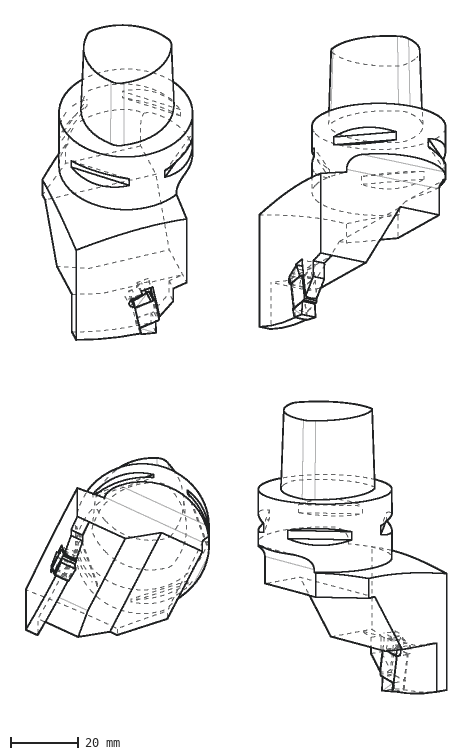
import cadquery as cq
import math


COLLAR_RADIUS = 19.98
COLLAR_HEIGHT = 20.9
TAPER_HEIGHT = 24.0
TAPER_LOBES = 3
TAPER_BASE_RADII = (13.13, 15.0, 14.64)
TAPER_TOP_RADII = (12.3, 14.2, 13.9)
LOBE_HALF_ANGLE = 8.0

NOTCH_COUNT = 4
NOTCH_FLAT_DISTANCE = 17.5
NOTCH_CENTER_Z = -10.1
NOTCH_INNER_HEIGHT = 2.5
NOTCH_OUTER_HEIGHT = 5.2

BLOCK_LEFT = -15.1
BLOCK_RIGHT = 26.4
BLOCK_BACK = 10.0
BLOCK_FRONT = -25.06
BLOCK_BOTTOM = -48.4
BLOCK_CORNER_CHAMFER = 11.2
CONE_ANGLE = 15.0
LEDGE_BOTTOM = -28.4
RAMP_TOP_X = -1.5
RAMP_BOTTOM_X = 10.5
FRONT_BEVEL_LENGTH = 9.6
FRONT_BEVEL_HEIGHT = 2.4
UNDERCUT_Z = -16.0
UNDERCUT_RADIUS = 4.0

BLADE_THICKNESS = 3.9
JAW_STEP_Y = 5.7
JAW_STEP_TOP = -49.6
JAW_STEP_BOTTOM = -54.6
JAW_NOSE = (1.2, -59.6)
BLADE_TOE = (-0.9, -64.4)
BLADE_ARC_MIDDLE = (-15.1, -63.3)
BLADE_FRONT_BOTTOM = -61.0

PART_BOTTOM = TAPER_HEIGHT - 89.0
INSERT_TILT = math.radians(10.1)
INSERT_CENTER_X = 24.6
CUTTING_EDGE_Y = 0.1
INSERT_HALF_LENGTH = 8.5
INSERT_BODY_HALF = 4.3
INSERT_BODY_WIDTH = 4.4
INSERT_RIDGE_WIDTH = 4.9
HEEL_WIDTH = 4.45
INSERT_TOP = 2.0
INSERT_BOTTOM = -4.45
RAKE_FOOT = 0.7
HEEL_U = 7.1
NOSE_CHAMFER = 0.45

POCKET_OPEN_END = 10.7
SLIT_END = 9.35
SLIT_BOTTOM = -1.3
JAW_BEVEL_HEIGHT = 0.4
JAW_BEVEL_WIDTH = 1.3
RELIEF_RADIUS = 1.7
RELIEF_CENTER = (-6.0, -4.2)

INSERT_PLANE = cq.Plane(
    origin=(
        INSERT_CENTER_X,
        CUTTING_EDGE_Y - INSERT_HALF_LENGTH * math.sin(INSERT_TILT),
        PART_BOTTOM + INSERT_HALF_LENGTH * math.cos(INSERT_TILT),
    ),
    xDir=(0, math.sin(INSERT_TILT), -math.cos(INSERT_TILT)),
    normal=(1, 0, 0),
)


def polar(radius, degrees):
    angle = math.radians(degrees)
    return (radius * math.cos(angle), radius * math.sin(angle))


def lobed_section(sketch, radii):
    """Close a rounded three-lobed outline on the given workplane."""
    side_radius, lobe_radius, joint_radius = radii
    pitch = 360 / TAPER_LOBES
    first_lobe = 90
    sketch = sketch.moveTo(*polar(joint_radius, first_lobe - LOBE_HALF_ANGLE))
    for index in range(TAPER_LOBES):
        lobe = first_lobe + index * pitch
        sketch = sketch.threePointArc(
            polar(lobe_radius, lobe), polar(joint_radius, lobe + LOBE_HALF_ANGLE)
        )
        sketch = sketch.threePointArc(
            polar(side_radius, lobe + pitch / 2),
            polar(joint_radius, lobe + pitch - LOBE_HALF_ANGLE),
        )
    return sketch.close()


def make_taper():
    base = lobed_section(cq.Workplane("XY"), TAPER_BASE_RADII)
    top = lobed_section(base.workplane(offset=TAPER_HEIGHT), TAPER_TOP_RADII)
    return top.loft(ruled=True, combine=True)


def make_notch(angle):
    """Trapezoidal cutter whose inner flat is a chord of the collar."""
    inner = NOTCH_INNER_HEIGHT / 2
    outer = NOTCH_OUTER_HEIGHT / 2
    cutter = (
        cq.Workplane("XZ")
        .polyline([
            (NOTCH_FLAT_DISTANCE, NOTCH_CENTER_Z - inner),
            (COLLAR_RADIUS, NOTCH_CENTER_Z - outer),
            (COLLAR_RADIUS, NOTCH_CENTER_Z + outer),
            (NOTCH_FLAT_DISTANCE, NOTCH_CENTER_Z + inner),
        ])
        .close()
        .extrude(COLLAR_RADIUS, both=True)
    )
    return cutter.rotate((0, 0, 0), (0, 0, 1), angle)


def make_collar():
    collar = cq.Workplane("XY").circle(COLLAR_RADIUS).extrude(-COLLAR_HEIGHT)
    for index in range(NOTCH_COUNT):
        collar = collar.cut(make_notch(45 + index * 360 / NOTCH_COUNT))
    left_cutter = make_undercut("XZ", BLOCK_LEFT, -1)
    back_cutter = make_undercut("YZ", BLOCK_BACK, 1)
    return collar.cut(left_cutter).cut(back_cutter)


def make_undercut(plane, wall, outward):
    """Cutter outside a block wall, with a round between wall and collar underside."""
    reach = 2 * COLLAR_RADIUS
    blend = UNDERCUT_RADIUS * (1 - math.sqrt(0.5))
    return (
        cq.Workplane(plane)
        .moveTo(wall, -COLLAR_HEIGHT)
        .lineTo(wall, UNDERCUT_Z - UNDERCUT_RADIUS)
        .threePointArc(
            (wall + outward * blend, UNDERCUT_Z - blend),
            (wall + outward * UNDERCUT_RADIUS, UNDERCUT_Z),
        )
        .lineTo(wall + outward * reach, UNDERCUT_Z)
        .lineTo(wall + outward * reach, -COLLAR_HEIGHT)
        .close()
        .extrude(reach, both=True)
    )


def make_block():
    plan = (
        cq.Workplane("XY", origin=(0, 0, -COLLAR_HEIGHT))
        .polyline([
            (BLOCK_LEFT, BLOCK_BACK),
            (BLOCK_RIGHT, BLOCK_BACK),
            (BLOCK_RIGHT, BLOCK_FRONT),
            (BLOCK_LEFT + BLOCK_CORNER_CHAMFER, BLOCK_FRONT),
            (BLOCK_LEFT, BLOCK_FRONT + BLOCK_CORNER_CHAMFER),
        ])
        .close()
        .extrude(BLOCK_BOTTOM + COLLAR_HEIGHT)
    )
    reach = 2 * COLLAR_RADIUS
    cone_drop = (reach - COLLAR_RADIUS) * math.tan(math.radians(CONE_ANGLE))
    cone = (
        cq.Workplane("XZ")
        .polyline([
            (0, -COLLAR_HEIGHT),
            (COLLAR_RADIUS, -COLLAR_HEIGHT),
            (reach, -COLLAR_HEIGHT - cone_drop),
            (reach, BLOCK_BOTTOM),
            (0, BLOCK_BOTTOM),
        ])
        .close()
        .revolve(360, (0, 0, 0), (0, 1, 0))
    )
    ramp = (
        cq.Workplane("XZ")
        .polyline([
            (BLOCK_LEFT, LEDGE_BOTTOM),
            (RAMP_TOP_X, LEDGE_BOTTOM),
            (RAMP_BOTTOM_X, BLOCK_BOTTOM),
            (BLOCK_LEFT, BLOCK_BOTTOM),
        ])
        .close()
        .extrude(reach, both=True)
    )
    front_bevel = (
        cq.Workplane("YZ")
        .polyline([
            (BLOCK_FRONT, BLOCK_BOTTOM),
            (BLOCK_FRONT + FRONT_BEVEL_LENGTH, BLOCK_BOTTOM),
            (BLOCK_FRONT, BLOCK_BOTTOM + FRONT_BEVEL_HEIGHT),
        ])
        .close()
        .extrude(reach, both=True)
    )
    return plan.intersect(cone).cut(ramp).cut(front_bevel)


def make_blade():
    return (
        cq.Workplane("YZ", origin=(BLOCK_RIGHT, 0, 0))
        .moveTo(BLOCK_FRONT, LEDGE_BOTTOM)
        .lineTo(BLOCK_BACK, LEDGE_BOTTOM)
        .lineTo(BLOCK_BACK, BLOCK_BOTTOM)
        .lineTo(JAW_STEP_Y, JAW_STEP_TOP)
        .lineTo(JAW_STEP_Y, JAW_STEP_BOTTOM)
        .lineTo(*JAW_NOSE)
        .lineTo(*BLADE_TOE)
        .threePointArc(BLADE_ARC_MIDDLE, (BLOCK_FRONT, BLADE_FRONT_BOTTOM))
        .close()
        .extrude(-BLADE_THICKNESS)
    )


def make_pocket():
    """Space for the insert, its relief hole and the slit above the rear head."""
    heel_slope = (INSERT_HALF_LENGTH - HEEL_U) / INSERT_BOTTOM
    slit_corner_u = -INSERT_HALF_LENGTH + heel_slope * SLIT_BOTTOM
    half_width = INSERT_RIDGE_WIDTH / 2
    seat = (
        cq.Workplane(INSERT_PLANE)
        .polyline([
            (POCKET_OPEN_END, INSERT_TOP),
            (-SLIT_END, INSERT_TOP),
            (-SLIT_END, SLIT_BOTTOM),
            (slit_corner_u, SLIT_BOTTOM),
            (-HEEL_U, INSERT_BOTTOM),
            (POCKET_OPEN_END, INSERT_BOTTOM),
        ])
        .close()
        .extrude(half_width, both=True)
    )
    relief = (
        cq.Workplane(INSERT_PLANE)
        .center(*RELIEF_CENTER)
        .circle(RELIEF_RADIUS)
        .extrude(half_width, both=True)
    )
    return seat.union(relief)


def make_jaw_bevel(side):
    """Bevel on one side of the upper jaw, leaving a ridge along its middle."""
    section_plane = cq.Plane(
        origin=INSERT_PLANE.toWorldCoords((-SLIT_END, INSERT_TOP, 0)),
        xDir=INSERT_PLANE.zDir,
        normal=-INSERT_PLANE.xDir,
    )
    edge = side * BLADE_THICKNESS / 2
    return (
        cq.Workplane(section_plane)
        .polyline([
            (edge - side * JAW_BEVEL_WIDTH, 0),
            (side * INSERT_RIDGE_WIDTH / 2, 0),
            (side * INSERT_RIDGE_WIDTH / 2, JAW_BEVEL_HEIGHT),
            (edge, JAW_BEVEL_HEIGHT),
        ])
        .close()
        .extrude(-(SLIT_END + POCKET_OPEN_END))
    )


def make_holder():
    holder = make_taper().union(make_collar()).union(make_block()).union(make_blade())
    holder = holder.cut(make_pocket())
    for side in (-1, 1):
        holder = holder.cut(make_jaw_bevel(side))
    return holder


def make_head(end):
    """Cutting head at one end of the insert, widest on a ridge to its cutting edge."""
    corners = [
        (INSERT_BODY_HALF, RAKE_FOOT, INSERT_BODY_WIDTH),
        (INSERT_HALF_LENGTH, 0, INSERT_RIDGE_WIDTH),
        (HEEL_U, INSERT_BOTTOM, HEEL_WIDTH),
        (INSERT_BODY_HALF, INSERT_BOTTOM, INSERT_RIDGE_WIDTH),
    ]
    sides = []
    for side in (-1, 1):
        points = []
        for u, w, width in corners:
            points.append(INSERT_PLANE.toWorldCoords((end * u, w, side * width / 2)))
        sides.append(points)
    left, right = sides
    outlines = []
    for index in range(len(corners)):
        following = (index + 1) % len(corners)
        outlines.append([left[index], left[following], right[following], right[index]])
    for foot, edge, heel, back in sides:
        outlines.append([foot, edge, back])
        outlines.append([edge, heel, back])
    faces = []
    for outline in outlines:
        faces.append(cq.Face.makeFromWires(cq.Wire.makePolygon(outline, close=True)))
    return cq.Workplane(cq.Solid.makeSolid(cq.Shell.makeShell(faces)).fix())


def make_insert():
    """Clamped insert body together with its unused rear head."""
    body = (
        cq.Workplane(INSERT_PLANE)
        .polyline([
            (-INSERT_BODY_HALF, INSERT_BOTTOM),
            (INSERT_BODY_HALF, INSERT_BOTTOM),
            (INSERT_BODY_HALF, INSERT_TOP - NOSE_CHAMFER),
            (INSERT_BODY_HALF - NOSE_CHAMFER, INSERT_TOP),
            (NOSE_CHAMFER - INSERT_BODY_HALF, INSERT_TOP),
            (-INSERT_BODY_HALF, INSERT_TOP - NOSE_CHAMFER),
        ])
        .close()
        .extrude(INSERT_BODY_WIDTH / 2, both=True)
    )
    return body.union(make_head(-1))


holder = make_holder()
insert = make_insert()
cutting_tip = make_head(1)

result = cq.Compound.makeCompound([
    holder.solids().val(),
    insert.solids().val(),
    cutting_tip.solids().val(),
])